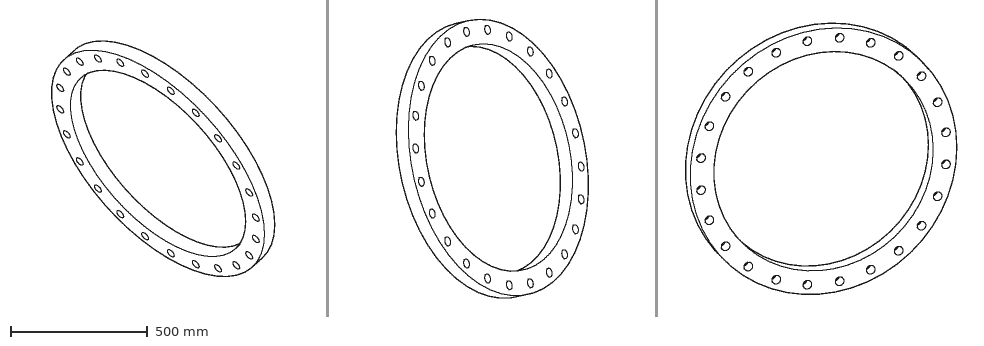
import cadquery as cq

outer_diameter = 1026.0
bore_diameter = 843.0
thickness = 58.0

hole_count = 24
hole_diameter = 33.0
bolt_circle_diameter = 950.0
first_hole_angle = 360 / hole_count / 2

ring = (
    cq.Workplane("XZ")
    .circle(outer_diameter / 2)
    .circle(bore_diameter / 2)
    .extrude(thickness)
)

bolt_holes = (
    cq.Workplane("XZ")
    .polarArray(bolt_circle_diameter / 2, first_hole_angle, 360, hole_count)
    .circle(hole_diameter / 2)
    .extrude(thickness)
)

result = ring.cut(bolt_holes)